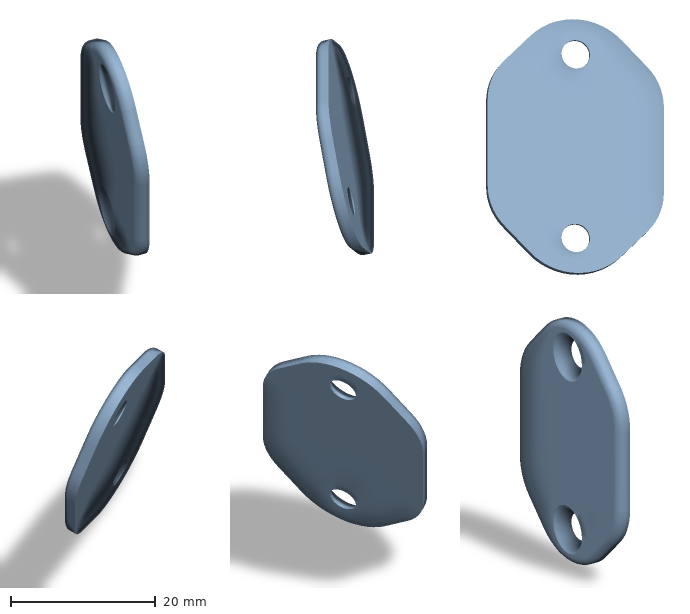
import cadquery as cq
import math

height = 35.93
width = 24.83
thickness = 2.0
edge_radius = 1.0

end_radius = 9.13
shoulder_radius = 7.9
flat_angle = 45.0

hole_spacing = 26.0
hole_diameter = 4.0
countersink_diameter = 7.0
countersink_angle = 90.0

half_width = width / 2
half_height = height / 2
diagonal = math.sin(math.radians(flat_angle))


def arc_point(center, radius, degrees):
    """Point (x, z) on a circle, measured from +X toward +Z."""
    angle = math.radians(degrees)
    return (center[0] + radius * math.cos(angle), center[1] + radius * math.sin(angle))


def make_outline():
    """Closed outline in the XZ plane, tangent at every joint."""
    end_center = (0, half_height - end_radius)
    flat_sum = end_center[1] + end_radius / diagonal
    shoulder_x = half_width - shoulder_radius
    shoulder_center = (shoulder_x, flat_sum - shoulder_radius / diagonal - shoulder_x)

    side_top = arc_point(shoulder_center, shoulder_radius, 0)
    shoulder_middle = arc_point(shoulder_center, shoulder_radius, flat_angle / 2)
    flat_bottom = arc_point(shoulder_center, shoulder_radius, flat_angle)
    flat_top = arc_point(end_center, end_radius, flat_angle)

    def mirrored(point, x_sign, z_sign):
        return (x_sign * point[0], z_sign * point[1])

    outline = cq.Workplane("XZ").moveTo(*mirrored(side_top, 1, -1))
    for sign in (1, -1):
        outline = (
            outline.lineTo(*mirrored(side_top, sign, sign))
            .threePointArc(mirrored(shoulder_middle, sign, sign), mirrored(flat_bottom, sign, sign))
            .lineTo(*mirrored(flat_top, sign, sign))
            .threePointArc((0, sign * half_height), mirrored(flat_top, -sign, sign))
            .lineTo(*mirrored(flat_bottom, -sign, sign))
            .threePointArc(mirrored(shoulder_middle, -sign, sign), mirrored(side_top, -sign, sign))
        )
    return outline.close()


plate = make_outline().extrude(thickness / 2, both=True)
plate = plate.faces("<Y").edges().fillet(edge_radius)

result = (
    plate.faces("<Y")
    .workplane(origin=(0, 0, 0))
    .pushPoints([(0, -hole_spacing / 2), (0, hole_spacing / 2)])
    .cskHole(hole_diameter, countersink_diameter, countersink_angle)
)